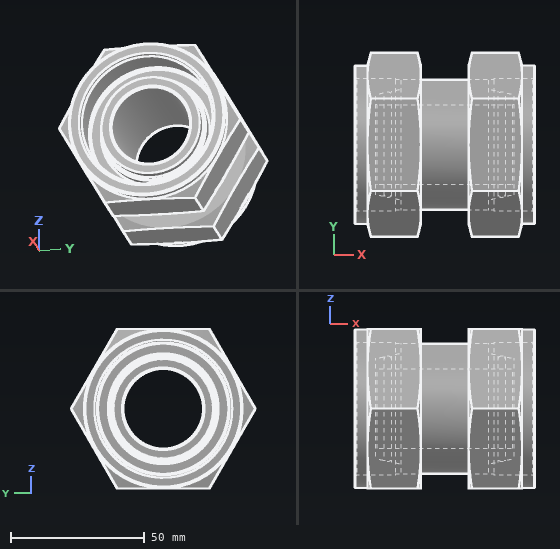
import cadquery as cq
import math


coupling_length = 68.0
half_length = coupling_length / 2

body_radius = 24.5
body_half_length = 16.5
through_bore_radius = 15.0
cone_length = 9.5
cone_half_angle = 12.0
cone_tip_radius = 18.8
cone_slope = math.tan(math.radians(cone_half_angle))
tip_half_length = body_half_length + cone_length
bore_chamfer = 0.5

groove_setback = 3.2
groove_width = 2.8
bead_section_radius = groove_width / 2
bead_crest_radius = 19.85
bead_centre_radius = bead_crest_radius - bead_section_radius

across_flats = 60.0
across_corners = across_flats / math.cos(math.radians(30))
hex_length = 20.0
collar_length = 5.0
collar_radius = 29.8
collar_chamfer = 0.5
nut_length = hex_length + collar_length
hex_start = half_length - nut_length
hex_end = half_length - collar_length
hex_chamfer_radius = across_flats / 2
hex_chamfer_angle = 15.0
nut_bore_radius = 24.95
nut_mouth_chamfer = 1.0
nut_bore_start = 18.5


def cone_radius(x):
    """Radius of the sealing cone at distance x from the middle of the coupling."""
    return cone_tip_radius + (tip_half_length - x) * cone_slope


def revolve_about_x(points):
    """Solid of revolution from (x, radius) points."""
    return cq.Workplane("XY").polyline(points).close().revolve(360, (0, 0, 0), (1, 0, 0))


def make_sealing_cone():
    """Solid cone on the +X end of the body, with its seal bead."""
    groove_front = tip_half_length - groove_setback
    groove_middle = groove_front - bead_section_radius
    groove_back = groove_front - groove_width
    return (
        cq.Workplane("XY")
        .moveTo(body_half_length, 0)
        .lineTo(body_half_length, cone_radius(body_half_length))
        .lineTo(groove_back, cone_radius(groove_back))
        .lineTo(groove_back, bead_centre_radius)
        .threePointArc((groove_middle, bead_crest_radius), (groove_front, bead_centre_radius))
        .lineTo(groove_front, cone_radius(groove_front))
        .lineTo(tip_half_length, cone_tip_radius)
        .lineTo(tip_half_length, 0)
        .close()
        .revolve(360, (0, 0, 0), (1, 0, 0))
    )


def make_body():
    sleeve = revolve_about_x([
        (-body_half_length, 0),
        (-body_half_length, body_radius),
        (body_half_length, body_radius),
        (body_half_length, 0),
    ])
    through_bore = revolve_about_x([
        (-tip_half_length, 0),
        (-tip_half_length, through_bore_radius + bore_chamfer),
        (-tip_half_length + bore_chamfer, through_bore_radius),
        (tip_half_length - bore_chamfer, through_bore_radius),
        (tip_half_length, through_bore_radius + bore_chamfer),
        (tip_half_length, 0),
    ])
    cone = make_sealing_cone()
    return sleeve.union(cone).union(cone.mirror("YZ")).cut(through_bore)


def make_hex():
    """Hex with corners on +Y and -Y, turned down to a 15 degree chamfer at both ends."""
    prism = (
        cq.Workplane("YZ", origin=(hex_start, 0, 0))
        .polygon(6, across_corners)
        .extrude(hex_length)
    )
    outer_radius = across_corners / 2
    chamfer_depth = (outer_radius - hex_chamfer_radius) * math.tan(math.radians(hex_chamfer_angle))
    turned_blank = revolve_about_x([
        (hex_start, 0),
        (hex_start, hex_chamfer_radius),
        (hex_start + chamfer_depth, outer_radius),
        (hex_end - chamfer_depth, outer_radius),
        (hex_end, hex_chamfer_radius),
        (hex_end, 0),
    ])
    return prism.intersect(turned_blank)


def make_nut():
    """Nut on the +X end of the body."""
    collar = revolve_about_x([
        (hex_end, 0),
        (hex_end, collar_radius),
        (half_length - collar_chamfer, collar_radius),
        (half_length, collar_radius - collar_chamfer),
        (half_length, 0),
    ])
    bore = revolve_about_x([
        (hex_start, 0),
        (hex_start, body_radius),
        (nut_bore_start, body_radius),
        (nut_bore_start, nut_bore_radius),
        (half_length - nut_mouth_chamfer, nut_bore_radius),
        (half_length, nut_bore_radius + nut_mouth_chamfer),
        (half_length, 0),
    ])
    return make_hex().union(collar).cut(bore)


body = make_body()
nut = make_nut()
nuts = [nut.rotate((0, 0, 0), (0, 0, 1), angle) for angle in (0, 180)]

result = cq.Compound.makeCompound([body.val()] + [copy.val() for copy in nuts])